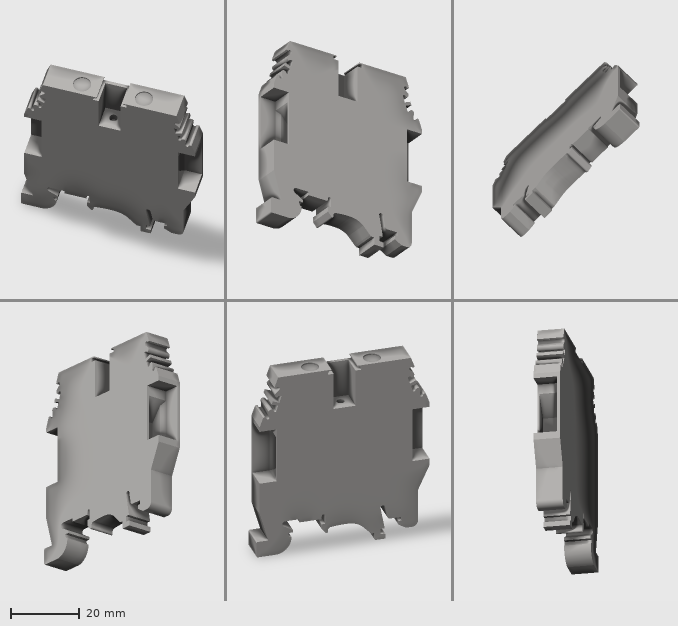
import cadquery as cq


height = 58.65
thickness = 8.0
half_width = 26.05
foot_tip_x = -27.0
shoulder_z = 43.0
half_top_width = 20.35
left_taper_z = 14.3
right_taper_z = 22.2

foot_top_z = 5.1
foot_neck_x = -23.4
foot_flat_end_x = -20.65
foot_corner_radius = 0.4
hook_tip_x = -15.85
hook_lip_x = -16.25
hook_notch_x = -17.1
hook_tip_low_z = 6.55
hook_tip_high_z = 7.4
foot_curve_mid = (-17.65, 1.5)
hook_throat = (-16.85, 5.3)
hook_notch_z = 5.9
rail_pocket_start = (-18.55, 8.9)
rail_pocket_mid = (-19.05, 9.85)
rail_pocket_end_x = -18.35
rail_seat_z = 10.6
rail_step_x = -13.8
rail_step_z = 9.55

nose_x = -7.0
nose_slot_x = -5.9
nose_slot_low_z = 7.85
nose_slot_high_z = 10.6
nose_slot_tip_z = 11.0
nose_slot_mouth_x = -7.15
nose_lean_start_z = 6.15
nose_tip_start = (-5.8, 4.8)
nose_tip_mid = (-5.3, 4.7)
nose_tip_x = -5.1
nose_tip_end_z = 5.1
nose_back_top_z = 5.65
nose_corner_radius = 0.3

arch_z = 6.75
arch_lead_in_mid = (-4.75, 6.3)
arch_start = (-3.95, 6.5)
arch_left_mid_x = -1.4
arch_crown_x = 1.2
arch_right_mid = (3.5, 6.3)
arch_end = (5.4, 5.15)
heel_z = 2.35
heel_ramp_end = (7.75, 2.75)
heel_start_x = 8.25
heel_left_x = 9.3
heel_notch_x = 11.0
heel_right_x = 12.5
heel_side_z = 1.5
heel_bevel_x = 11.85
heel_notch_low_z = 1.7
heel_notch_high_z = 3.4
spring_tip_x = 12.2
spring_tip_z = 3.95

lean_slot_top_z = 10.55
lean_slot_left_x = 10.95
lean_slot_right_x = 12.45
lean_slot_crown = (11.7, 11.1)
lean_slot_curve_start = (13.0, 7.35)
lean_slot_curve_mid = (13.3, 6.7)
lean_slot_curve_end_x = 14.1

leg_x = 22.45
leg_taper_z = 14.5
leg_bottom_z = 2.6
leg_corner_radius = 1.75
leg_seat_z = 6.4
leg_notch_x = 17.4
leg_notch_low_z = 5.3
leg_hook_x = 16.55
leg_hook_low_z = 3.95
leg_hook_high_z = 5.1
leg_bottom_start_x = 18.8

grip_top_z = 55.5
grip_bottom_z = 46.05
first_groove_lip = (20.95, 55.25)
first_groove_mid = (20.0, 55.4)
first_groove_end = (19.95, 54.6)
upper_tooth_start = (21.3, 53.4)
upper_tooth_mid = (21.3, 52.6)
upper_tooth_end = (20.65, 52.0)
second_groove_mid = (20.1, 52.5)
second_groove_end = (19.35, 52.3)
square_tooth_root_top = (20.0, 50.2)
square_tooth_tip_top = (22.0, 51.0)
square_tooth_tip_bottom = (22.35, 49.95)
square_tooth_root_bottom = (20.35, 49.3)
third_groove_start = (20.95, 47.5)
third_groove_mid = (21.35, 47.4)
third_groove_end = (21.7, 47.6)
lower_tooth_mid = (22.35, 48.3)
lower_tooth_end = (23.0, 48.2)
lower_tooth_tip = (23.3, 47.8)
last_groove_start = (23.05, 45.75)
last_groove_mid = (23.6, 45.3)
last_groove_end = (24.05, 45.75)
last_lip_mid = (24.5, 46.15)

groove_half_mouth = 4.0
groove_half_width = 5.1
groove_lip_z = 58.25
groove_floor_z = 57.2
groove_corner_radius = 0.3

pocket_half_width = 3.35
pocket_floor_z = 45.5
pocket_back_wall = 1.0
pocket_hole_diameter = 2.45
pocket_hole_depth = 2.35

screw_diameter = 5.3
screw_x = 9.45
screw_y = 3.5
screw_depth = 0.4

entry_low_z = 24.35
entry_high_z = 41.5
entry_floor_x = 20.75
entry_back_y = 7.1
funnel_high_z = 38.55
funnel_end_x = 16.0
funnel_end_low_z = 27.75
funnel_end_high_z = 32.6
funnel_front_y = 0.65
funnel_back_y = 5.8
funnel_bevel_x = 19.6


def box_between(x_range, y_range, z_range):
    """Axis-aligned box given by its two limits along each axis."""
    (x0, x1), (y0, y1), (z0, z1) = x_range, y_range, z_range
    return cq.Workplane("XY").box(x1 - x0, y1 - y0, z1 - z0, centered=False).translate((x0, y0, z0))


def with_mirror(shape):
    """The shape together with its mirror image about the X = 0 plane."""
    return shape.union(shape.mirror("YZ"))


def round_edge(body, x, z, radius):
    """Round the edge along Y that lies closest to (x, z)."""
    corner = cq.selectors.NearestToPointSelector((x, thickness / 2, z))
    return body.edges("|Y").edges(corner).fillet(radius)


def make_body():
    outline = cq.Workplane("XZ").moveTo(-half_top_width, height)
    outline = (
        outline.lineTo(-half_width, shoulder_z)
        .lineTo(-half_width, left_taper_z)
        .lineTo(foot_neck_x, foot_top_z)
        .lineTo(foot_tip_x, foot_top_z)
        .lineTo(foot_tip_x, 0)
        .lineTo(foot_flat_end_x, 0)
        .threePointArc(foot_curve_mid, (hook_lip_x, foot_top_z))
    )
    outline = (
        outline.lineTo(*hook_throat)
        .lineTo(hook_notch_x, hook_notch_z)
        .lineTo(hook_notch_x, hook_tip_low_z)
        .lineTo(hook_tip_x, hook_tip_low_z)
        .lineTo(hook_tip_x, hook_tip_high_z)
        .lineTo(*rail_pocket_start)
        .threePointArc(rail_pocket_mid, (rail_pocket_end_x, rail_seat_z))
        .lineTo(rail_step_x, rail_seat_z)
        .lineTo(rail_step_x, rail_step_z)
    )
    outline = (
        outline.lineTo(nose_slot_mouth_x, rail_step_z)
        .lineTo(nose_x, nose_slot_high_z)
        .threePointArc(((nose_x + nose_slot_x) / 2, nose_slot_tip_z), (nose_slot_x, nose_slot_high_z))
        .lineTo(nose_slot_x, nose_slot_low_z)
        .lineTo(nose_x, nose_slot_low_z)
        .lineTo(nose_x, nose_lean_start_z)
        .lineTo(*nose_tip_start)
        .threePointArc(nose_tip_mid, (nose_tip_x, nose_tip_end_z))
        .lineTo(nose_tip_x, nose_back_top_z)
        .threePointArc(arch_lead_in_mid, arch_start)
    )
    outline = (
        outline.threePointArc((arch_left_mid_x, arch_z), (arch_crown_x, arch_z))
        .threePointArc(arch_right_mid, arch_end)
        .lineTo(*heel_ramp_end)
        .lineTo(heel_start_x, heel_z)
        .lineTo(heel_left_x, heel_z)
        .lineTo(heel_left_x, 0)
        .lineTo(heel_right_x, 0)
        .lineTo(heel_right_x, heel_side_z)
        .lineTo(heel_bevel_x, heel_notch_low_z)
        .lineTo(heel_notch_x, heel_notch_low_z)
        .lineTo(heel_notch_x, heel_notch_high_z)
        .lineTo(spring_tip_x, heel_notch_high_z)
    )
    outline = (
        outline.lineTo(spring_tip_x, spring_tip_z)
        .lineTo(lean_slot_left_x, lean_slot_top_z)
        .threePointArc(lean_slot_crown, (lean_slot_right_x, lean_slot_top_z))
        .lineTo(*lean_slot_curve_start)
        .threePointArc(lean_slot_curve_mid, (lean_slot_curve_end_x, leg_seat_z))
    )
    outline = (
        outline.lineTo(leg_notch_x, leg_seat_z)
        .lineTo(leg_notch_x, leg_notch_low_z)
        .lineTo(leg_hook_x, leg_hook_high_z)
        .lineTo(leg_hook_x, leg_hook_low_z)
        .lineTo(leg_bottom_start_x, leg_bottom_z)
        .lineTo(leg_x, leg_bottom_z)
        .lineTo(leg_x, leg_taper_z)
        .lineTo(half_width, right_taper_z)
        .lineTo(half_width, shoulder_z)
        .lineTo(half_top_width, height)
        .close()
    )
    body = outline.extrude(-thickness)
    body = round_edge(body, foot_tip_x, 0, foot_corner_radius)
    body = round_edge(body, foot_tip_x, foot_top_z, foot_corner_radius)
    body = round_edge(body, nose_x, nose_slot_low_z, nose_corner_radius)
    return round_edge(body, leg_x, leg_bottom_z, leg_corner_radius)


def shoulder_x(z):
    """X of the leaning right shoulder at height z."""
    lean = (half_width - half_top_width) / (height - shoulder_z)
    return half_width - lean * (z - shoulder_z)


def make_grip_cut():
    """Material removed from the right shoulder to leave its grip teeth."""
    return (
        cq.Workplane("XZ")
        .moveTo(shoulder_x(grip_top_z), grip_top_z)
        .lineTo(*first_groove_lip)
        .threePointArc(first_groove_mid, first_groove_end)
        .lineTo(*upper_tooth_start)
        .threePointArc(upper_tooth_mid, upper_tooth_end)
        .threePointArc(second_groove_mid, second_groove_end)
        .lineTo(*square_tooth_root_top)
        .lineTo(*square_tooth_tip_top)
        .lineTo(*square_tooth_tip_bottom)
        .lineTo(*square_tooth_root_bottom)
        .lineTo(*third_groove_start)
        .threePointArc(third_groove_mid, third_groove_end)
        .threePointArc(lower_tooth_mid, lower_tooth_end)
        .lineTo(*lower_tooth_tip)
        .lineTo(*last_groove_start)
        .threePointArc(last_groove_mid, last_groove_end)
        .threePointArc(last_lip_mid, (shoulder_x(grip_bottom_z), grip_bottom_z))
        .lineTo(half_width, grip_bottom_z)
        .lineTo(half_width, grip_top_z)
        .close()
        .extrude(-thickness)
    )


def make_top_groove():
    mouth = box_between(
        (-groove_half_mouth, groove_half_mouth), (0, thickness), (groove_floor_z, height)
    )
    undercut = box_between(
        (-groove_half_width, groove_half_width), (0, thickness), (groove_floor_z, groove_lip_z)
    )
    undercut = undercut.edges("|Y and >Z").fillet(groove_corner_radius)
    return mouth.union(undercut)


def make_pocket():
    pocket = box_between(
        (-pocket_half_width, pocket_half_width),
        (0, thickness - pocket_back_wall),
        (pocket_floor_z, height),
    )
    hole = (
        cq.Workplane("XY", origin=(0, thickness / 2, pocket_floor_z))
        .circle(pocket_hole_diameter / 2)
        .extrude(-pocket_hole_depth)
    )
    return pocket.union(hole)


def make_screw_recess():
    return (
        cq.Workplane("XY", origin=(screw_x, screw_y, height))
        .circle(screw_diameter / 2)
        .extrude(-screw_depth)
    )


def make_wire_entry():
    """Right-hand recess, open at the front, with a funnel leading inwards."""
    recess = box_between(
        (entry_floor_x, half_width), (0, entry_back_y), (entry_low_z, entry_high_z)
    )
    height_profile = (
        cq.Workplane("XZ")
        .polyline([
            (entry_floor_x, entry_low_z),
            (entry_floor_x, funnel_high_z),
            (funnel_end_x, funnel_end_high_z),
            (funnel_end_x, funnel_end_low_z),
        ])
        .close()
        .extrude(-thickness)
    )
    thickness_profile = (
        cq.Workplane("XY")
        .polyline([
            (entry_floor_x, funnel_front_y),
            (entry_floor_x, entry_back_y),
            (funnel_bevel_x, funnel_back_y),
            (funnel_end_x, funnel_back_y),
            (funnel_end_x, funnel_front_y),
        ])
        .close()
        .extrude(height)
    )
    return recess.union(height_profile.intersect(thickness_profile))


result = (
    make_body()
    .cut(with_mirror(make_grip_cut()))
    .cut(make_top_groove())
    .cut(make_pocket())
    .cut(with_mirror(make_screw_recess()))
    .cut(with_mirror(make_wire_entry()))
)